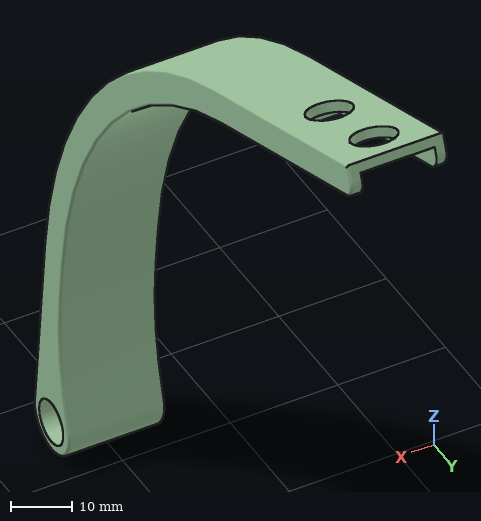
import cadquery as cq
import math

height = 133.2
width = 18.0
thickness = 6.3
edge_fillet = 0.5

eye_radius = 6.0
eye_hole_diameter = 8.1
neck_fillet = 66.6

lower_lean = 5.6
upper_slope = 20.2
lower_length = 36.1
bend_radius = 87.9

tip_radius = 2.9
channel_length = 35.7
wall = 2.1
plate = 2.0
mount_hole_diameter = 8.1
mount_hole_from_tip = 7.9
mount_hole_pitch = 16.1


def polar(radius, degrees):
    """Vector in the (Y, Z) plane, with the angle measured from +Y towards +Z."""
    angle = math.radians(degrees)
    return radius * math.cos(angle), radius * math.sin(angle)


def add(*vectors):
    return sum(v[0] for v in vectors), sum(v[1] for v in vectors)


lower_along = 90 - lower_lean
lower_normal = lower_along + 90
upper_normal = upper_slope + 90
bend_middle = (lower_normal + upper_normal) / 2

eye_tangent = polar(eye_radius, lower_normal)
bend_start = add(eye_tangent, polar(lower_length, lower_along))
bend_center = add(bend_start, polar(-bend_radius, lower_normal))
bend_end = add(bend_center, polar(bend_radius, upper_normal))
upper_length = (height - eye_radius - bend_end[1]) / math.sin(math.radians(upper_slope))
tip = add(bend_end, polar(upper_length, upper_slope))


def arm_profile():
    inner_radius = bend_radius - thickness
    inner_tip = add(tip, polar(-thickness, upper_normal))
    tip_round_center = add(inner_tip, polar(tip_radius, upper_normal), polar(-tip_radius, upper_slope))

    neck_offset = neck_fillet + thickness - eye_radius
    neck_height = math.sqrt((neck_fillet + eye_radius) ** 2 - neck_offset**2)
    neck_center = add(polar(-neck_offset, lower_normal), polar(neck_height, lower_along))
    neck_angle = math.degrees(math.atan2(neck_center[1], neck_center[0]))
    neck_start = add(neck_center, polar(neck_fillet, lower_normal))
    neck_end = polar(eye_radius, neck_angle)
    neck_middle = add(neck_center, polar(neck_fillet, (lower_normal + neck_angle + 180) / 2))
    eye_bottom = (0, -eye_radius)

    return (
        cq.Workplane("YZ", origin=(-width / 2, 0, 0))
        .moveTo(*eye_tangent)
        .lineTo(*bend_start)
        .threePointArc(add(bend_center, polar(bend_radius, bend_middle)), bend_end)
        .lineTo(*tip)
        .lineTo(*add(tip_round_center, polar(tip_radius, upper_slope)))
        .threePointArc(
            add(tip_round_center, polar(tip_radius, upper_slope - 45)),
            add(tip_round_center, polar(-tip_radius, upper_normal)),
        )
        .lineTo(*add(bend_center, polar(inner_radius, upper_normal)))
        .threePointArc(
            add(bend_center, polar(inner_radius, bend_middle)),
            add(bend_center, polar(inner_radius, lower_normal)),
        )
        .lineTo(*neck_start)
        .threePointArc(neck_middle, neck_end)
        .threePointArc(eye_bottom, eye_tangent)
        .close()
    )


def along_from_tip(distance):
    return add(tip, polar(-distance, upper_slope))


def channel():
    corners = [
        add(along_from_tip(distance), polar(-depth, upper_normal))
        for distance, depth in [
            (-thickness, plate),
            (channel_length, plate),
            (channel_length, 2 * thickness),
            (-thickness, 2 * thickness),
        ]
    ]
    channel_width = width - 2 * wall
    return (
        cq.Workplane("YZ", origin=(-channel_width / 2, 0, 0))
        .polyline(corners)
        .close()
        .extrude(channel_width)
    )


def mount_hole(distance):
    y, z = along_from_tip(distance)
    normal = polar(1, upper_normal)
    surface = cq.Plane(origin=(0, y, z), xDir=(1, 0, 0), normal=(0, *normal))
    return cq.Workplane(surface).circle(mount_hole_diameter / 2).extrude(thickness, both=True)


def eye_hole():
    return cq.Workplane("YZ").circle(eye_hole_diameter / 2).extrude(width, both=True)


arm = arm_profile().extrude(width).faces("<X or >X").edges().fillet(edge_fillet)
result = arm.cut(eye_hole()).cut(channel())
for index in range(2):
    result = result.cut(mount_hole(mount_hole_from_tip + index * mount_hole_pitch))